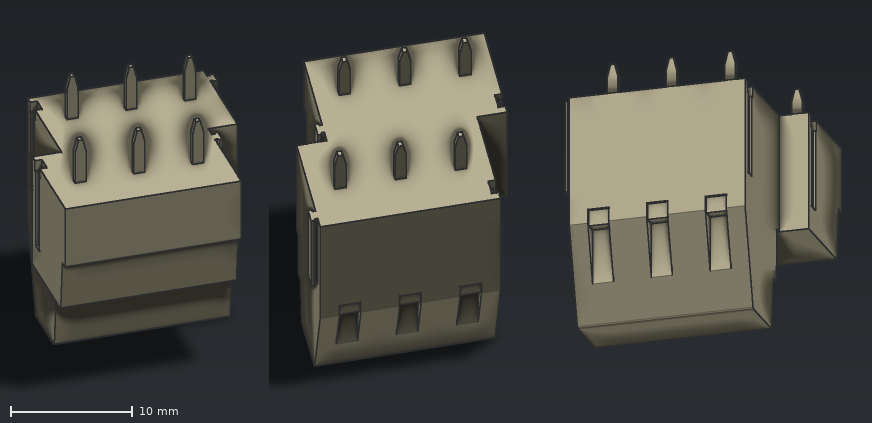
import cadquery as cq


TOTAL_HEIGHT = 23.5
TOTAL_WIDTH = 18.3
TOTAL_DEPTH = 18.33
POLE_PITCH = 5.08
POLES_PER_ROW = 3

BODY_TOP = 19.48
MODULE_STEP = 9.28
STAGGER = POLE_PITCH / 2
RAIL_HEIGHT = 0.59
MODULE_DEPTH = TOTAL_DEPTH - STAGGER - RAIL_HEIGHT
RIGHT_UNDERSIDE = 9.25

LIP_DEPTH = 0.82
LIP_HEIGHT = 4.6
FOOT_INSET = 1.3
CORNER_RADIUS = 0.2
LEFT_LIP_FACE = 8.58

SLOPE_TOP = 8.3
SLOPE_RUN = 2.2

PIN_X = 4.1
PIN_ROW_SPACING = 10.15
PIN_THICKNESS = 0.5
PIN_WIDTH = 0.95
PIN_TIP_WIDTH = 0.38
PIN_TAPER_HEIGHT = 1.1

DOVETAIL_X = 1.39
DOVETAIL_LENGTH = 7.95
RAIL_NECK_WIDTH = 0.85
RAIL_HEAD_WIDTH = 1.22
SLOT_NECK_WIDTH = 0.96
SLOT_HEAD_WIDTH = 1.39
SLOT_DEPTH = 0.6
NECK_HEIGHT = 0.2
FLARE_HEIGHT = 0.15
SLOT_MOUTH_HEIGHT = 0.95

POCKET_WIDTH = 1.8
POCKET_TOP = 9.47
POCKET_LEDGE = 8.1
POCKET_BOTTOM = 3.4
POCKET_UPPER_DEPTH = 0.25
POCKET_LOWER_DEPTH = SLOPE_RUN * (SLOPE_TOP - POCKET_BOTTOM) / SLOPE_TOP


def pole_positions(front):
    """Y centres of the poles of a module whose front face is at the given Y."""
    middle = front + MODULE_DEPTH / 2
    return [middle + (i - (POLES_PER_ROW - 1) / 2) * POLE_PITCH for i in range(POLES_PER_ROW)]


def extrude_along_y(points, front, depth):
    """Extrude an XZ outline backwards from the given Y."""
    return cq.Workplane("XZ", origin=(0, front, 0)).polyline(points).close().extrude(-depth)


def round_corners(body, corners, front):
    """Round the Y-parallel edges that pass through the given XZ corners."""
    for x, z in corners:
        near_corner = cq.selectors.NearestToPointSelector((x, front + MODULE_DEPTH / 2, z))
        body = body.edges("|Y").edges(near_corner).fillet(CORNER_RADIUS)
    return body


def stepped_edge(lip_face, underside):
    """Foot corner, inner step corner and outer lip corner of a module's stepped edge."""
    lip_bottom = underside + LIP_HEIGHT
    return [
        (lip_face - FOOT_INSET, underside),
        (lip_face - LIP_DEPTH, lip_bottom),
        (lip_face, lip_bottom),
    ]


def left_module():
    foot, step, lip = stepped_edge(LEFT_LIP_FACE, 0)
    slope_foot = (SLOPE_RUN, 0)
    outline = [
        (0, BODY_TOP),
        (0, SLOPE_TOP),
        slope_foot,
        foot,
        step,
        lip,
        (LEFT_LIP_FACE, RIGHT_UNDERSIDE),
        (MODULE_STEP, RIGHT_UNDERSIDE),
        (MODULE_STEP, BODY_TOP),
    ]
    body = extrude_along_y(outline, 0, MODULE_DEPTH)
    return round_corners(body, [slope_foot, foot, lip], 0)


def right_module():
    foot, step, lip = stepped_edge(TOTAL_WIDTH, RIGHT_UNDERSIDE)
    outline = [
        (MODULE_STEP, BODY_TOP),
        (MODULE_STEP, RIGHT_UNDERSIDE),
        foot,
        step,
        lip,
        (TOTAL_WIDTH, BODY_TOP),
    ]
    body = extrude_along_y(outline, -STAGGER, MODULE_DEPTH)
    return round_corners(body, [foot, lip], -STAGGER)


def dovetail(x, face, neck_width, head_width, height):
    """Dovetail bar hanging from the top, growing in +Y from the face at the given Y."""
    neck = neck_width / 2
    head = head_width / 2
    flare_end = NECK_HEIGHT + FLARE_HEIGHT
    outline = [
        (-neck, 0),
        (-neck, NECK_HEIGHT),
        (-head, flare_end),
        (-head, height),
        (head, height),
        (head, flare_end),
        (neck, NECK_HEIGHT),
        (neck, 0),
    ]
    plane = cq.Workplane("XY", origin=(x, face, BODY_TOP))
    return plane.polyline(outline).close().extrude(-DOVETAIL_LENGTH)


def slot(x, front):
    """Dovetail slot with a full-width rectangular mouth at the top."""
    mouth = (
        cq.Workplane("XY", origin=(x, front + SLOT_DEPTH / 2, BODY_TOP))
        .rect(SLOT_HEAD_WIDTH, SLOT_DEPTH)
        .extrude(-SLOT_MOUTH_HEIGHT)
    )
    return dovetail(x, front, SLOT_NECK_WIDTH, SLOT_HEAD_WIDTH, SLOT_DEPTH).union(mouth)


def pocket(y):
    """Pocket in the left face: shallow above a ledge, deeper below it."""
    outline = [
        (0, POCKET_TOP),
        (POCKET_UPPER_DEPTH, POCKET_TOP),
        (POCKET_UPPER_DEPTH, POCKET_LEDGE),
        (POCKET_LOWER_DEPTH, POCKET_LEDGE),
        (POCKET_LOWER_DEPTH, POCKET_BOTTOM),
        (0, POCKET_BOTTOM),
    ]
    return extrude_along_y(outline, y - POCKET_WIDTH / 2, POCKET_WIDTH)


def pin(x, y):
    """Flat pin whose tip narrows in Y."""
    half = PIN_WIDTH / 2
    half_tip = PIN_TIP_WIDTH / 2
    taper_start = TOTAL_HEIGHT - PIN_TAPER_HEIGHT
    outline = [
        (-half, BODY_TOP),
        (-half, taper_start),
        (-half_tip, TOTAL_HEIGHT),
        (half_tip, TOTAL_HEIGHT),
        (half, taper_start),
        (half, BODY_TOP),
    ]
    plane = cq.Workplane("YZ", origin=(x - PIN_THICKNESS / 2, y, 0))
    return plane.polyline(outline).close().extrude(PIN_THICKNESS)


result = left_module().union(right_module())

for row, front_face in enumerate((0, -STAGGER)):
    dovetail_x = DOVETAIL_X + row * MODULE_STEP
    back_face = front_face + MODULE_DEPTH
    result = result.cut(slot(dovetail_x, front_face))
    result = result.union(dovetail(dovetail_x, back_face, RAIL_NECK_WIDTH, RAIL_HEAD_WIDTH, RAIL_HEIGHT))
    for pole_y in pole_positions(front_face):
        result = result.union(pin(PIN_X + row * PIN_ROW_SPACING, pole_y))

for pole_y in pole_positions(0):
    result = result.cut(pocket(pole_y))